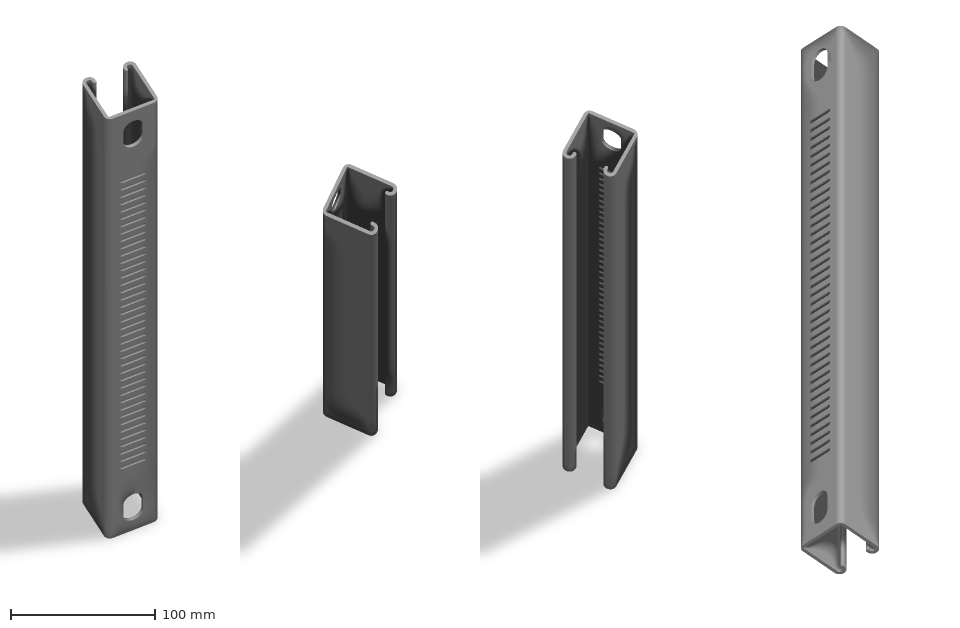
import cadquery as cq

length = 457.0
depth = 41.0
width = 41.0

wall = 2.6
bend_radius = 4.5
lip_bend_inner_radius = bend_radius - wall
back_inner_radius = 0.5

lip_width = 9.5
lip_depth = 7.0

slot_count = 40
slot_row_span = 312.0
slot_length = 20.0
slot_height = 2.95

mount_length = 28.0
mount_width = 15.0
mount_end_distance = 25.0

back_x = depth / 2
front_x = -depth / 2
side_y = width / 2


def half_channel():
    """The +Y half of the channel: half the back wall, the side wall and the curled lip."""
    inner_back_x = back_x - wall
    inner_front_x = front_x + wall
    inner_side_y = side_y - wall

    front_bend_x = front_x + bend_radius
    back_bend_x = back_x - bend_radius
    side_bend_y = side_y - bend_radius

    lip_y = side_y - lip_width
    lip_bend_y = lip_y + bend_radius
    lip_tip_x = front_x + lip_depth - wall / 2

    section = (
        cq.Workplane("XY")
        .moveTo(back_x, 0)
        .lineTo(back_x, side_bend_y)
        .tangentArcPoint((back_bend_x, side_y), relative=False)
        .lineTo(front_bend_x, side_y)
        .tangentArcPoint((front_x, side_bend_y), relative=False)
        .lineTo(front_x, lip_bend_y)
        .tangentArcPoint((front_bend_x, lip_y), relative=False)
        .lineTo(lip_tip_x, lip_y)
        .tangentArcPoint((lip_tip_x, lip_y + wall), relative=False)
        .lineTo(front_bend_x, lip_y + wall)
        .tangentArcPoint((inner_front_x, lip_y + wall + lip_bend_inner_radius), relative=False)
        .lineTo(inner_front_x, inner_side_y - lip_bend_inner_radius)
        .tangentArcPoint((front_bend_x, inner_side_y), relative=False)
        .lineTo(inner_back_x - back_inner_radius, inner_side_y)
        .tangentArcPoint((inner_back_x, inner_side_y - back_inner_radius), relative=False)
        .lineTo(inner_back_x, 0)
        .close()
    )
    return section.extrude(length / 2, both=True)


def channel():
    half = half_channel()
    return half.union(half.mirror("XZ")).clean()


def back_wall_slots(heights, long_side, short_side, angle):
    """Cutters for round-ended slots through the back wall, centred on Y = 0 at the given Z heights."""
    return (
        cq.Workplane("YZ", origin=(back_x - 2 * wall, 0, 0))
        .pushPoints([(0, z) for z in heights])
        .slot2D(long_side, short_side, angle)
        .extrude(3 * wall)
    )


slot_pitch = slot_row_span / (slot_count - 1)
slot_heights = [-slot_row_span / 2 + i * slot_pitch for i in range(slot_count)]

mount_z = length / 2 - mount_end_distance
mount_heights = [-mount_z, mount_z]

result = (
    channel()
    .cut(back_wall_slots(slot_heights, slot_length, slot_height, 0))
    .cut(back_wall_slots(mount_heights, mount_length, mount_width, 90))
)